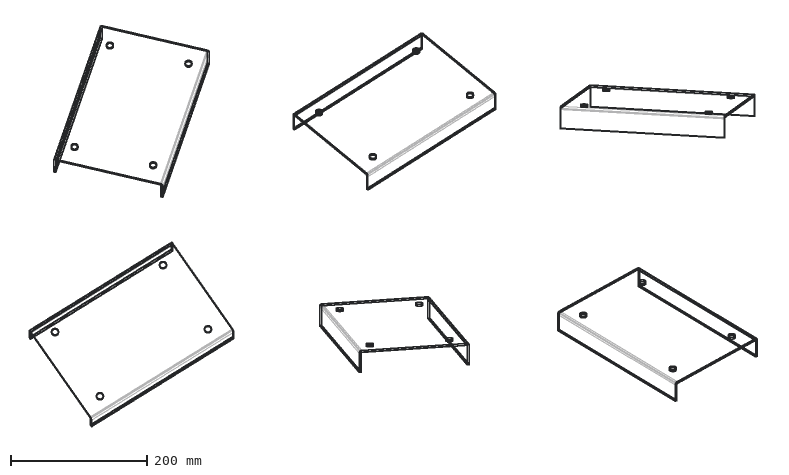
import cadquery as cq

width = 166.5
length = 250.0
height = 33.0

sheet_thickness = 3.0
inner_bend_radius = 1.0
outer_bend_radius = inner_bend_radius + sheet_thickness

hole_diameter = 10.0
hole_spacing_x = 120.0
hole_spacing_y = 190.0


def bent_sheet():
    """U-shaped sheet, open downwards, with rounded bends along Y."""
    outer = (
        cq.Workplane("XY")
        .box(width, length, height, centered=(True, True, False))
        .edges("|Y and >Z")
        .fillet(outer_bend_radius)
    )
    inner = (
        cq.Workplane("XY")
        .box(
            width - 2 * sheet_thickness,
            length,
            height - sheet_thickness,
            centered=(True, True, False),
        )
        .edges("|Y and >Z")
        .fillet(inner_bend_radius)
    )
    return outer.cut(inner)


def mounting_holes():
    """Four cylinders that pierce the top web."""
    return (
        cq.Workplane("XY")
        .rarray(hole_spacing_x, hole_spacing_y, 2, 2)
        .circle(hole_diameter / 2)
        .extrude(height)
    )


result = bent_sheet().cut(mounting_holes())